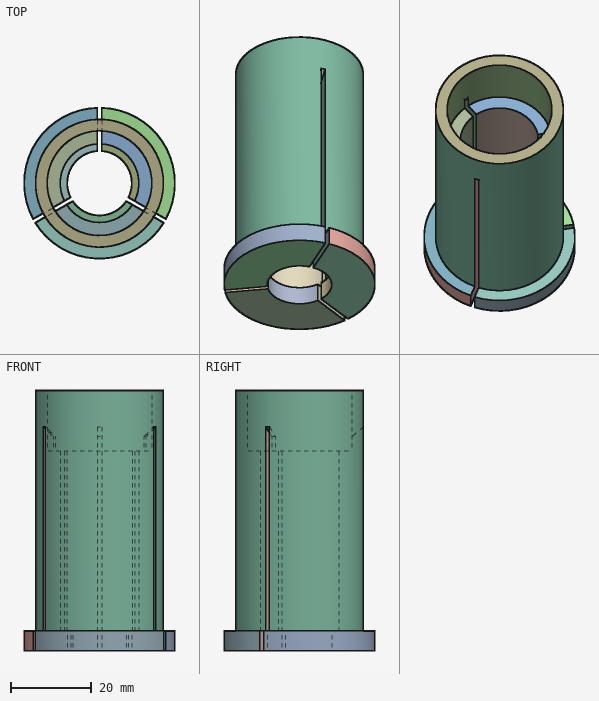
import cadquery as cq

length = 64.6
collar_diameter = 37.5
collar_height = 5.0
sleeve_diameter = 31.7

socket_diameter = 26.0
socket_depth = 15.0
bore_diameter = 19.5
throat_diameter = 15.95
throat_height = collar_height

slit_count = 3
slit_spacing = 360 / slit_count
slit_width = 1.05
slit_top = 55.6
slit_end_drop = 2.4
first_slit_angle = 90


def cylinder(diameter, bottom, top):
    """Solid cylinder on the Z axis between two heights."""
    return cq.Workplane("XY").workplane(offset=bottom).circle(diameter / 2).extrude(top - bottom)


def radial_slit(angle):
    """Thin upright slab from the axis past the collar, slit_top high at the sleeve's outer face."""
    sleeve_radius = sleeve_diameter / 2
    wall = (sleeve_diameter - socket_diameter) / 2
    end_slope = slit_end_drop / wall
    reach = collar_diameter
    axis_height = slit_top - end_slope * sleeve_radius
    reach_height = axis_height + end_slope * reach
    outline = [(0, 0), (reach, 0), (reach, reach_height), (0, axis_height)]
    slab = cq.Workplane("XZ").polyline(outline).close().extrude(slit_width / 2, both=True)
    return slab.rotate((0, 0, 0), (0, 0, 1), angle)


result = cylinder(collar_diameter, 0, collar_height).union(cylinder(sleeve_diameter, 0, length))

result = result.cut(cylinder(throat_diameter, 0, length))
result = result.cut(cylinder(bore_diameter, throat_height, length))
result = result.cut(cylinder(socket_diameter, length - socket_depth, length))

for index in range(slit_count):
    result = result.cut(radial_slit(first_slit_angle + index * slit_spacing))